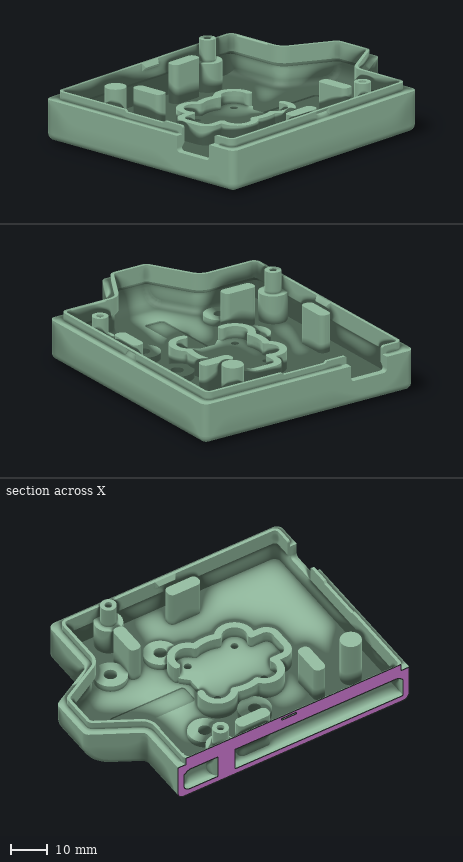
import cadquery as cq
import math

floor_z = 2.0
raised_z = 4.0
notch_z = 7.2
ring_wall_z = 7.5
cavity_z = 8.0
ledge_z = 9.2
shelf_z = 10.2
rim_z = 11.7
pillar_z = 13.1
lip_recess_z = 13.4
lip_z = 14.0
pin_z = 16.4

half_width = 34.5
shoulder_y = 74.1
nose_y = 88.5
nose_half_tip = 7.1
nose_half_foot = 15.1
wall = 1.95
lip_side_inset = 2.4
lip_end_inset = 2.1
lip_thickness = 0.9
bore_side_inset = lip_side_inset + lip_thickness
bore_end_inset = lip_end_inset + lip_thickness

corner_radius = 2.0
bore_corner_radius = corner_radius - lip_thickness
floor_radius = 2.0
nose_radius = 7.0

touch = 0.1

pad_centres = [(-16.0, 55.75), (-16.0, 39.7), (16.0, 65.7), (16.0, 49.7)]
pad_diameter = 9.5
pad_hole = 3.7
standoff_x = 28.4
standoff_y = 58.5
shelf_diameter = 8.05
pin_diameter = 4.5
pin_hole = 2.1
post_centre = (-18.05, 10.3)
post_diameter = 6.0
pillar_length = 10.2
pillar_width = 3.6
pillar_radius = 1.5
pillars_along_x = [(-15.8, 21.4), (17.5, 59.5)]
pillars_along_y = [(-26.7, 47.2), (26.8, 35.7)]

corner_x = 7.5
corner_low_y = 31.3
corner_high_y = 46.3
corner_bore = 7.2
mount_hole = 2.2
ring_wall = 2.0
wall_end_angle = 74
waist_x = 10.1
waist_bulge = 0.6
tail_half_width = 5.7
tail_y = 21.15
tail_radius = 3.0
mouth_half_width = 2.6
mouth_y = 48.6
mouth_flare = 2.2

groove_width = 6.4
groove_front_y = 50.4
groove_rear_y = 74.4
groove_depth = 0.5
groove_radius = 1.15

notch_x0 = 13.8
notch_x1 = 25.6
notch_radius = 1.1
notch_mouth_radius = 0.7
lip_recess_half_width = 7.35
lip_recess_slope = 0.6
relief_x0 = -29.2
relief_x1 = -17.9
relief_radius = 0.4
snap_y = 38.5
ridge_length = 6.5
ridge_taper = 0.7
dent_length = 5.2
dent_taper = 0.3
snap_depth = 1.0


def plan_points(side_inset, end_inset):
    """Sharp outline moved inwards by the given insets."""
    run = (nose_half_foot - nose_half_tip) / (nose_y - shoulder_y)
    shift = end_inset * math.hypot(1, run)

    def slant_x(y):
        return nose_half_tip + run * (nose_y - y) - shift

    side = half_width - side_inset
    shoulder = shoulder_y - end_inset
    nose = nose_y - end_inset
    right = [
        (side, end_inset),
        (side, shoulder),
        (slant_x(shoulder), shoulder),
        (slant_x(nose), nose),
    ]
    left = [(-x, y) for x, y in reversed(right)]
    return right + left


def prism(side_inset, end_inset, bottom, top):
    """Outline prism whose two inward corners are rounded concentrically with the outer wall."""
    points = plan_points(side_inset, end_inset)
    body = cq.Workplane("XY", origin=(0, 0, bottom)).polyline(points).close().extrude(top - bottom)
    foot_x, foot_y = points[2]

    def is_at_foot(edge):
        return math.hypot(abs(edge.Center().x) - foot_x, edge.Center().y - foot_y) < touch

    foot_edges = [edge for edge in body.edges("|Z").vals() if is_at_foot(edge)]
    return body.newObject(foot_edges).fillet(corner_radius + end_inset)


def is_outward_corner(edge):
    """True for an upright edge near the nose tip or a side wall, so not at the foot of the nose."""
    x, y = abs(edge.Center().x), edge.Center().y
    upright = edge.BoundingBox().zlen > touch
    return upright and (y > (shoulder_y + nose_y) / 2 or x > (nose_half_foot + half_width) / 2)


def round_corners(body, radius):
    """Round the six outward vertical corners."""
    corners = [edge for edge in body.edges().vals() if is_outward_corner(edge)]
    return body.newObject(corners).fillet(radius)


def box(x0, x1, y0, y1, z0, z1):
    return cq.Workplane("XY", origin=(x0, y0, z0)).box(x1 - x0, y1 - y0, z1 - z0, centered=False)


def cylinder(x, y, diameter, bottom, top):
    return cq.Workplane("XY", origin=(x, y, bottom)).circle(diameter / 2).extrude(top - bottom)


def make_outer():
    """Tray body: the nose end rolls under with a large radius, other lower edges with a small one."""
    body = prism(0, 0, 0, rim_z)
    body = body.faces(">Y").edges("<Z").fillet(nose_radius)
    return body.edges("(not >Z)").fillet(corner_radius)


def make_cavity():
    """Lower cavity: corners rounded all round, floor edge rounded along the shoulders and nose only."""
    body = prism(wall, wall, floor_z, cavity_z)
    body = body.faces(">Y").edges("<Z").fillet(nose_radius - wall)

    def is_rounded(edge):
        x, y, z = edge.Center().toTuple()
        at_shoulder_or_slant = y > shoulder_y - wall - touch and abs(x) > touch
        on_floor = z < floor_z + touch
        return (on_floor and at_shoulder_or_slant) or is_outward_corner(edge)

    edges = [edge for edge in body.edges().vals() if is_rounded(edge)]
    return body.newObject(edges).fillet(floor_radius)


def make_bore():
    """Opening inside the lip, with the sloping underside that carries the lip."""
    bore = round_corners(prism(bore_side_inset, bore_end_inset, ledge_z, lip_z), bore_corner_radius)
    cavity_shape = round_corners(prism(wall, wall, floor_z, cavity_z), floor_radius)
    cavity_top = cavity_shape.faces(">Z").wires().val()
    bore_bottom = bore.faces("<Z").wires().val()
    slope = cq.Solid.makeLoft([cavity_top, bore_bottom], True)
    return bore.union(cq.Workplane(slope))


def make_pillar(x, y, turn):
    block = cq.Workplane("XY").rect(pillar_length, pillar_width).extrude(pillar_z - floor_z)
    block = block.edges("|Z").fillet(pillar_radius)
    return block.rotate((0, 0, 0), (0, 0, 1), turn).translate((x, y, floor_z))


def platform_path():
    """Left half of the wall's middle line, from its free end at the mouth to the tail on X = 0."""
    radius = (corner_bore + ring_wall) / 2
    waist_reach = math.sqrt(radius**2 - (waist_x - corner_x) ** 2)
    tail_reach = math.sqrt(radius**2 - (corner_x - tail_half_width) ** 2)
    diagonal = radius / math.sqrt(2)
    end_angle = math.radians(wall_end_angle)
    bend = tail_radius * (1 - 1 / math.sqrt(2))

    return (
        cq.Workplane("XY")
        .moveTo(-corner_x + radius * math.cos(end_angle), corner_high_y + radius * math.sin(end_angle))
        .threePointArc((-corner_x - radius, corner_high_y), (-waist_x, corner_high_y - waist_reach))
        .threePointArc(
            (-waist_x - waist_bulge, (corner_low_y + corner_high_y) / 2),
            (-waist_x, corner_low_y + waist_reach),
        )
        .threePointArc(
            (-corner_x - diagonal, corner_low_y - diagonal),
            (-tail_half_width, corner_low_y - tail_reach),
        )
        .lineTo(-tail_half_width, tail_y + tail_radius)
        .threePointArc(
            (-tail_half_width + bend, tail_y + bend),
            (-tail_half_width + tail_radius, tail_y),
        )
        .lineTo(0, tail_y)
    )


def make_platform():
    """Raised floor with a wavy wall around it that is open at the mouth."""
    ring = platform_path().offset2D(ring_wall / 2).extrude(ring_wall_z - floor_z)
    base = (
        platform_path()
        .lineTo(0, mouth_y)
        .lineTo(-mouth_half_width, mouth_y)
        .lineTo(-mouth_half_width - mouth_flare, mouth_y + mouth_flare)
        .close()
    )
    half = base.extrude(raised_z - floor_z).union(ring)
    return half.union(half.mirror("YZ")).translate((0, 0, floor_z))


def make_snap(side, inset, length, taper):
    """Tapered ridge pointing inwards from the given inset of one side wall."""
    height = lip_z - rim_z
    ridge = cq.Solid.makeWedge(
        length, snap_depth, height, taper, height / 2, length - taper, height / 2
    )
    ridge = cq.Workplane(ridge).rotate((0, 0, 0), (0, 0, 1), -90)
    ridge = ridge.translate((inset - half_width, snap_y + length / 2, rim_z))
    return ridge if side < 0 else ridge.mirror("YZ")


def make_notch():
    """Connector opening through the front wall and lip, with rounded edges where it meets the lip top."""
    mouth_x0 = notch_x0 - notch_mouth_radius
    mouth_x1 = notch_x1 + notch_mouth_radius
    mouth_z = lip_z - notch_mouth_radius
    opening = box(notch_x0, notch_x1, 0, bore_end_inset, notch_z, lip_z)
    opening = opening.edges("|Y and <Z").fillet(notch_radius)
    mouth = box(mouth_x0, mouth_x1, 0, bore_end_inset, mouth_z, lip_z)
    for x in (mouth_x0, mouth_x1):
        rounding = cq.Workplane("XZ", origin=(x, 0, mouth_z)).circle(notch_mouth_radius)
        mouth = mouth.cut(rounding.extrude(-bore_end_inset))
    return opening.union(mouth)


def make_lip_recess():
    """Shallow dip with sloping ends in the top of the front lip."""
    floor_half = lip_recess_half_width - lip_recess_slope
    points = [
        (-lip_recess_half_width, lip_z),
        (-floor_half, lip_recess_z),
        (floor_half, lip_recess_z),
        (lip_recess_half_width, lip_z),
    ]
    return cq.Workplane("XZ").polyline(points).close().extrude(-bore_end_inset)


def make_shoulder_relief():
    """Rounding of the inner top edge of the lip along part of the left shoulder."""
    inner_y = shoulder_y - bore_end_inset
    bend = relief_radius * (1 - 1 / math.sqrt(2))
    profile = (
        cq.Workplane("YZ", origin=(relief_x0, 0, 0))
        .moveTo(inner_y, lip_z)
        .lineTo(inner_y, lip_z - relief_radius)
        .threePointArc((inner_y + bend, lip_z - bend), (inner_y + relief_radius, lip_z))
        .close()
    )
    return profile.extrude(relief_x1 - relief_x0)


lip = round_corners(prism(lip_side_inset, lip_end_inset, rim_z, lip_z), corner_radius)
cavity = make_cavity().union(make_bore())
result = make_outer().union(lip).cut(cavity)
result = result.cut(make_notch()).cut(make_lip_recess()).cut(make_shoulder_relief())
for side in (-1, 1):
    result = result.union(make_snap(side, bore_side_inset, ridge_length, ridge_taper))
    result = result.cut(make_snap(side, lip_side_inset, dent_length, dent_taper))

groove = box(
    -groove_width / 2, groove_width / 2, groove_front_y, groove_rear_y, floor_z - groove_depth, floor_z
)
result = result.cut(groove.edges("|Z").fillet(groove_radius))
result = result.union(make_platform())
for x, y in pad_centres:
    result = result.union(cylinder(x, y, pad_diameter, floor_z, raised_z))
for side in (-1, 1):
    result = result.union(cylinder(side * standoff_x, standoff_y, shelf_diameter, floor_z, shelf_z))
    result = result.union(cylinder(side * standoff_x, standoff_y, pin_diameter, floor_z, pin_z))
result = result.union(cylinder(*post_centre, post_diameter, floor_z, pin_z))
for x, y in pillars_along_x:
    result = result.union(make_pillar(x, y, 0))
for x, y in pillars_along_y:
    result = result.union(make_pillar(x, y, 90))

for x, y in pad_centres:
    result = result.cut(cylinder(x, y, pad_hole, 0, pin_z))
for side in (-1, 1):
    result = result.cut(cylinder(side * standoff_x, standoff_y, pin_hole, 0, pin_z))
    for y in (corner_low_y, corner_high_y):
        result = result.cut(cylinder(side * corner_x, y, mount_hole, 0, pin_z))

result = result.solids()